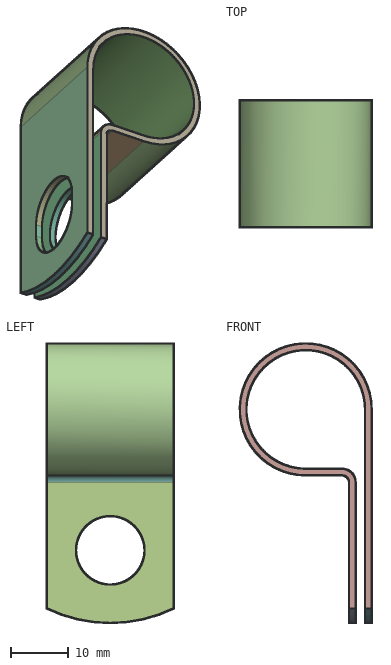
import cadquery as cq
import math

strip_width = 22.23
thickness = 1.2
loop_outer_diameter = 23.06
overall_height = 48.82
leg_gap = 1.6
bend_inner_radius = 1.2
hole_diameter = 11.9
slot_length = 14.3
hole_height = 12.7
end_radius = 25.4

loop_outer_radius = loop_outer_diameter / 2
loop_inner_radius = loop_outer_radius - thickness
bend_outer_radius = bend_inner_radius + thickness
leg_bottom = loop_outer_radius - overall_height
short_leg_outer_x = loop_inner_radius - leg_gap
short_leg_inner_x = short_leg_outer_x - thickness
gap_middle_x = short_leg_outer_x + leg_gap / 2
bend_center_x = short_leg_outer_x - bend_outer_radius
bend_center_z = -loop_outer_radius - bend_inner_radius


def point_on_arc(center_x, center_z, radius, degrees):
    angle = math.radians(degrees)
    return (center_x + radius * math.cos(angle), center_z + radius * math.sin(angle))


def make_strip():
    """Bent strip: long leg, three-quarter loop, short flat, bend and short leg."""
    loop_middle = 135
    bend_middle = 45
    return (
        cq.Workplane("XZ")
        .moveTo(loop_outer_radius, leg_bottom)
        .lineTo(loop_outer_radius, 0)
        .threePointArc(point_on_arc(0, 0, loop_outer_radius, loop_middle), (0, -loop_outer_radius))
        .lineTo(bend_center_x, -loop_outer_radius)
        .threePointArc(
            point_on_arc(bend_center_x, bend_center_z, bend_inner_radius, bend_middle),
            (short_leg_inner_x, bend_center_z),
        )
        .lineTo(short_leg_inner_x, leg_bottom)
        .lineTo(short_leg_outer_x, leg_bottom)
        .lineTo(short_leg_outer_x, bend_center_z)
        .threePointArc(
            point_on_arc(bend_center_x, bend_center_z, bend_outer_radius, bend_middle),
            (bend_center_x, -loop_inner_radius),
        )
        .lineTo(0, -loop_inner_radius)
        .threePointArc(point_on_arc(0, 0, loop_inner_radius, loop_middle), (loop_inner_radius, 0))
        .lineTo(loop_inner_radius, leg_bottom)
        .close()
        .extrude(strip_width / 2, both=True)
    )


def make_side_envelope():
    """Side outline of the clamp, with the arc that rounds the lower leg ends."""
    half_width = strip_width / 2
    end_rise = end_radius - math.sqrt(end_radius**2 - half_width**2)
    corner_z = leg_bottom + end_rise
    return (
        cq.Workplane("YZ")
        .moveTo(-half_width, loop_outer_radius)
        .lineTo(-half_width, corner_z)
        .threePointArc((0, leg_bottom), (half_width, corner_z))
        .lineTo(half_width, loop_outer_radius)
        .close()
        .extrude(loop_outer_radius, both=True)
    )


def make_short_leg_hole():
    """Round hole along X, ending midway between the two legs."""
    return (
        cq.Workplane("YZ", origin=(gap_middle_x, 0, leg_bottom + hole_height))
        .circle(hole_diameter / 2)
        .extrude(-loop_outer_diameter)
    )


def make_long_leg_slot():
    """Upright slot along X, starting midway between the two legs."""
    return (
        cq.Workplane("YZ", origin=(gap_middle_x, 0, leg_bottom + hole_height))
        .slot2D(slot_length, hole_diameter, 90)
        .extrude(loop_outer_diameter)
    )


clamp = make_strip().intersect(make_side_envelope())
result = clamp.cut(make_short_leg_hole()).cut(make_long_leg_slot())